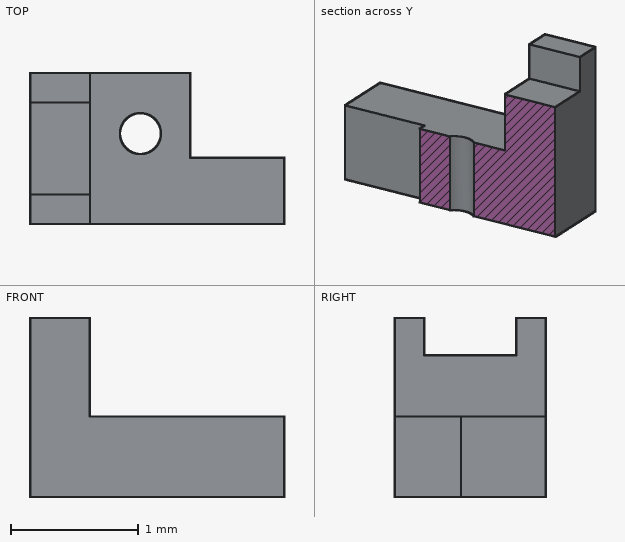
import cadquery as cq

length = 2.0
width = 1.19
height = 1.41

base_height = 0.635
wide_length = 1.26
arm_width = 0.525

wall_thickness = 0.47
prong_width = 0.235
notch_depth = 0.295

hole_diameter = 0.32
hole_x = 0.868
hole_y = 0.712


def corner_box(size_x, size_y, size_z):
    """Box with its lowest corner at the origin."""
    return cq.Workplane("XY").box(size_x, size_y, size_z, centered=False)


def make_base():
    wide_block = corner_box(wide_length, width, base_height)
    arm = corner_box(length, arm_width, base_height)
    return wide_block.union(arm)


def make_wall():
    wall = corner_box(wall_thickness, width, height)
    notch_width = width - 2 * prong_width
    notch = corner_box(wall_thickness, notch_width, notch_depth)
    return wall.cut(notch.translate((0, prong_width, height - notch_depth)))


def make_hole():
    return cq.Workplane("XY").center(hole_x, hole_y).circle(hole_diameter / 2).extrude(base_height)


result = make_base().union(make_wall()).cut(make_hole())